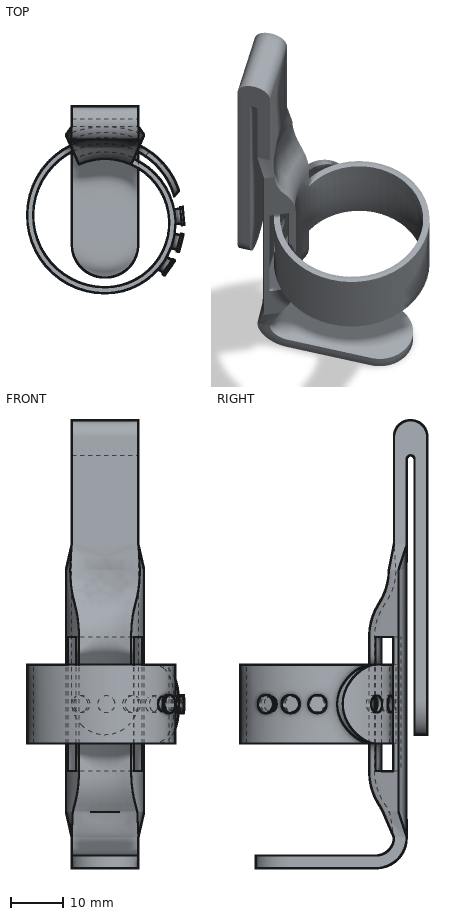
import cadquery as cq
import math

total_height = 85.5
plate_width = 12.7
plate_thickness = 2.5

saddle_outer_radius = 18.4
saddle_inner_radius = 12.2
saddle_half_angle = 24.0
s_curve_radius = 11.0
s_curve_height = 6.4
low_run_height = 7.8
transition_height = 4.9

window_height = 25.6
window_inner_radius = 13.6
window_outer_radius = 17.3

clip_gap = 1.45
clip_gap_top = 78.75
clip_bottom = 25.5
foot_tip_y = -10.4
foot_bend_radius = 5.9

strap_thickness = 1.2
strap_height = 15.05
strap_outer_radius = saddle_inner_radius + strap_thickness
loop_outer_radius = 14.9
tail_angle = 49.0
tail_round_diameter = 15.1
hole_count = 4
hole_diameter = 3.25
pitch_angle = 20.0

stud_count = 3
stud_angle = 5.2
stud_head_diameter = 3.5
stud_neck_diameter = 2.9
stud_head_thickness = 0.5
stud_tip_radius = 15.05

plate_back = saddle_outer_radius
plate_front = plate_back - plate_thickness
clip_back = plate_back + clip_gap + plate_thickness
clip_thickness = clip_back - plate_front
saddle_bottom = foot_bend_radius + transition_height
window_bottom = saddle_bottom + low_run_height
window_top = window_bottom + window_height
saddle_top = window_top + 2 * s_curve_height
clip_start = saddle_top + transition_height
strap_bottom = (window_bottom + window_top - strap_height) / 2
strap_middle = strap_bottom + strap_height / 2
tail_start = tail_angle - 60
loop_center_y = loop_outer_radius - strap_outer_radius


def polar(radius, angle, center_y=0.0):
    a = math.radians(angle)
    return (radius * math.cos(a), center_y + radius * math.sin(a))


def sector(work, inner, outer, start, end, center_y=0.0):
    """Closed annular sector running counter-clockwise from start to end, in degrees."""
    middle = (start + end) / 2
    return (
        work.moveTo(*polar(outer, start, center_y))
        .threePointArc(polar(outer, middle, center_y), polar(outer, end, center_y))
        .lineTo(*polar(inner, end, center_y))
        .threePointArc(polar(inner, middle, center_y), polar(inner, start, center_y))
        .close()
    )


def sector_block(inner, outer, start, end, bottom, height, center_y=0.0):
    base = cq.Workplane("XY", origin=(0, 0, bottom))
    return sector(base, inner, outer, start, end, center_y).extrude(height)


def s_curve_radius_at(height):
    """Inner radius of the saddle at a height above or below the straight stretch."""
    half_rise = s_curve_radius - math.sqrt(s_curve_radius**2 - s_curve_height**2)
    if height <= s_curve_height:
        return saddle_inner_radius + s_curve_radius - math.sqrt(s_curve_radius**2 - height**2)
    rest = 2 * s_curve_height - height
    return saddle_inner_radius + 2 * half_rise - s_curve_radius + math.sqrt(s_curve_radius**2 - rest**2)


def saddle():
    def point(height, z_base, direction):
        return (s_curve_radius_at(height), z_base + direction * height)

    low_middle = (s_curve_height + low_run_height) / 2
    profile = (
        cq.Workplane("XZ")
        .moveTo(saddle_outer_radius, saddle_bottom)
        .lineTo(*point(low_run_height, window_bottom, -1))
        .threePointArc(point(low_middle, window_bottom, -1), point(s_curve_height, window_bottom, -1))
        .threePointArc(point(s_curve_height / 2, window_bottom, -1), point(0, window_bottom, -1))
        .lineTo(*point(0, window_top, 1))
        .threePointArc(point(s_curve_height / 2, window_top, 1), point(s_curve_height, window_top, 1))
        .threePointArc(point(1.5 * s_curve_height, window_top, 1), point(2 * s_curve_height, window_top, 1))
        .lineTo(saddle_outer_radius, saddle_top)
        .close()
    )
    body = profile.revolve(2 * saddle_half_angle, (0, 0, 0), (0, 1, 0))
    return body.rotate((0, 0, 0), (0, 0, 1), 90 - saddle_half_angle)


def transition(z_saddle, z_plate, inner_radius):
    """Ruled blend from the end section of the saddle to the rectangular plate section."""
    span = (90 - saddle_half_angle, 90 + saddle_half_angle)
    curved = sector(cq.Workplane("XY", origin=(0, 0, z_saddle)), inner_radius, saddle_outer_radius, *span)
    half = plate_width / 2
    flat = (
        cq.Workplane("XY", origin=(0, 0, z_plate))
        .moveTo(half, plate_back)
        .lineTo(-half, plate_back)
        .lineTo(-half, plate_front)
        .lineTo(half, plate_front)
        .close()
    )
    return cq.Workplane(cq.Solid.makeLoft([curved.val(), flat.val()], True))


def tongue_outline(work, tip, root):
    """Strip of the plate width with a full round at its tip."""
    half = plate_width / 2
    return (
        work.moveTo(half, root)
        .lineTo(-half, root)
        .lineTo(-half, tip + half)
        .threePointArc((0, tip), (half, tip + half))
        .close()
    )


def clip():
    outside_radius = clip_thickness / 2
    gap_radius = clip_gap / 2
    gap_back = plate_back + clip_gap
    shoulder = total_height - outside_radius
    gap_shoulder = clip_gap_top - gap_radius
    middle = plate_front + outside_radius
    gap_middle = plate_back + gap_radius
    body = (
        cq.Workplane("YZ", origin=(-plate_width, 0, 0))
        .moveTo(plate_front, clip_start)
        .lineTo(plate_front, shoulder)
        .threePointArc((middle, total_height), (clip_back, shoulder))
        .lineTo(clip_back, clip_bottom)
        .lineTo(gap_back, clip_bottom)
        .lineTo(gap_back, gap_shoulder)
        .threePointArc((gap_middle, clip_gap_top), (plate_back, gap_shoulder))
        .lineTo(plate_back, clip_start)
        .close()
        .extrude(2 * plate_width)
    )
    outline = tongue_outline(cq.Workplane("XZ"), clip_bottom, total_height)
    return body.intersect(outline.extrude(-clip_back))


def foot():
    inside_radius = foot_bend_radius - plate_thickness
    bend_y = plate_back - foot_bend_radius
    diagonal = math.sqrt(0.5)
    bend_middle = (bend_y + foot_bend_radius * diagonal, foot_bend_radius * (1 - diagonal))
    inside_middle = (bend_y + inside_radius * diagonal, foot_bend_radius - inside_radius * diagonal)
    body = (
        cq.Workplane("YZ", origin=(-plate_width, 0, 0))
        .moveTo(plate_back, foot_bend_radius)
        .threePointArc(bend_middle, (bend_y, 0))
        .lineTo(foot_tip_y, 0)
        .lineTo(foot_tip_y, plate_thickness)
        .lineTo(bend_y, plate_thickness)
        .threePointArc(inside_middle, (plate_front, foot_bend_radius))
        .close()
        .extrude(2 * plate_width)
    )
    outline = tongue_outline(cq.Workplane("XY"), foot_tip_y, plate_back)
    return body.intersect(outline.extrude(foot_bend_radius))


def window():
    span = (90 - 2 * saddle_half_angle, 90 + 2 * saddle_half_angle)
    return sector_block(window_inner_radius, window_outer_radius, *span, window_bottom, window_height)


def radial_pin(diameter, start, end, angle, center_y):
    """Cylinder at mid-height of the strap, pointing outward from the loop centre."""
    outward = cq.Vector(*polar(1, angle))
    base = cq.Vector(*polar(start, angle, center_y), strap_middle)
    return cq.Workplane(cq.Solid.makeCylinder(diameter / 2, end - start, base, outward))


def loop_part(start, end):
    inner_radius = loop_outer_radius - strap_thickness
    return sector_block(inner_radius, loop_outer_radius, start, end, strap_bottom, strap_height, loop_center_y)


def tail_scrap():
    """Corners to trim off the loop so that its loose tail ends in a full round."""
    inner = loop_outer_radius - 2 * strap_thickness
    outer = loop_outer_radius + strap_thickness
    block = sector_block(
        inner, outer, tail_start, tail_angle, strap_bottom - 0.85, strap_height + 1.7, loop_center_y
    )
    return block.cut(radial_pin(tail_round_diameter, 0, 2 * loop_outer_radius, tail_angle, loop_center_y))


def strap():
    tail = loop_part(tail_start, 270).cut(tail_scrap())
    for i in range(hole_count):
        angle = tail_angle + i * pitch_angle
        tail = tail.cut(radial_pin(hole_diameter, 0, 2 * loop_outer_radius, angle, loop_center_y))
    near_span = (-90, 90 - saddle_half_angle)
    near = sector_block(saddle_inner_radius, strap_outer_radius, *near_span, strap_bottom, strap_height)
    return tail.union(near)


def stud(angle):
    neck_start = saddle_inner_radius + strap_thickness / 2
    neck = radial_pin(stud_neck_diameter, neck_start, stud_tip_radius, angle, 0)
    head_start = stud_tip_radius - stud_head_thickness
    return neck.union(radial_pin(stud_head_diameter, head_start, stud_tip_radius, angle, 0))


lower_end_radius = s_curve_radius_at(low_run_height)
upper_end_radius = s_curve_radius_at(2 * s_curve_height)
bracket = (
    saddle()
    .union(transition(saddle_bottom, foot_bend_radius, lower_end_radius))
    .union(transition(saddle_top, clip_start, upper_end_radius))
    .union(clip())
    .union(foot())
    .cut(window())
)
result = bracket.union(strap())
for i in range(stud_count):
    result = result.union(stud(stud_angle - i * pitch_angle))